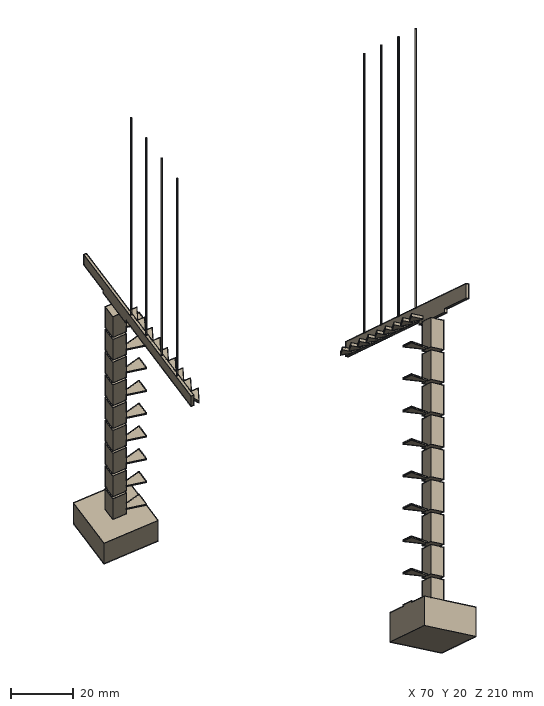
import cadquery as cq

total_height = 210.0
height_in_modules = 42
module = total_height / height_in_modules

base_width = 4 * module
base_height = 2 * module

segment_count = 9
segment_width = module
segment_height = 2 * module
segment_gap = module / 5
segment_pitch = segment_height + segment_gap

fin_width = segment_width
fin_reach = base_width / 2
fin_thickness = 0.5

beam_length = 14 * module
beam_left = -base_width
beam_thickness = 1.0
beam_height = module
beam_bottom = base_height + segment_count * segment_pitch + segment_gap
beam_top = beam_bottom + beam_height

rail_length = 3 * module
rail_height = 1.3
rail_bottom = beam_bottom - rail_height

tooth_count = 9
tooth_pitch = module
tooth_depth = module
tooth_thickness = 1.0

mast_count = 4
mast_pitch = 2 * tooth_pitch
mast_diameter = 0.5
mast_height = total_height - beam_top


def block(x_size, y_size, z_size, x_left, z_bottom):
    """Box centred on Y = 0, starting at x_left and z_bottom."""
    box = cq.Workplane("XY").box(x_size, y_size, z_size, centered=(False, True, False))
    return box.translate((x_left, 0, z_bottom))


def triangle_plate(corners, thickness, z_bottom):
    """Flat triangular plate lying on the plane Z = z_bottom."""
    return cq.Workplane("XY").workplane(offset=z_bottom).polyline(corners).close().extrude(thickness)


def make_segment(index):
    """One column segment with its fin."""
    foot = base_height + index * segment_pitch
    post = block(segment_width, segment_width, segment_height, -segment_width / 2, foot)
    fin_corners = [(0, 0), (fin_width / 2, fin_reach), (-fin_width / 2, fin_reach)]
    return post.union(triangle_plate(fin_corners, fin_thickness, foot))


def make_pedestal():
    """Base in one piece with the lowest segment."""
    base = block(base_width, base_width, base_height, -base_width / 2, 0)
    return base.union(make_segment(0))


def make_tooth(index):
    """Tooth as long as the row pitch, its tip pointing along +X."""
    start = (index + 1) * tooth_pitch
    corners = [(start, 0), (start + tooth_pitch, tooth_depth / 2), (start, tooth_depth)]
    return triangle_plate(corners, tooth_thickness, beam_bottom)


def make_mast(index):
    """Round mast from the top of the beam up to the full height."""
    x = (index + 1) * mast_pitch
    mast = cq.Workplane("XY").circle(mast_diameter / 2).extrude(mast_height)
    return mast.translate((x, 0, beam_top))


def make_beam():
    """Beam in one piece with its rail, teeth and masts."""
    beam = block(beam_length, beam_thickness, beam_height, beam_left, beam_bottom)
    beam = beam.union(block(rail_length, beam_thickness, rail_height, -rail_length / 2, rail_bottom))
    for index in range(tooth_count):
        beam = beam.union(make_tooth(index))
    for index in range(mast_count):
        beam = beam.union(make_mast(index))
    return beam


pedestal = make_pedestal()
segments = [make_segment(index) for index in range(1, segment_count)]
beam = make_beam()

result = cq.Compound.makeCompound(
    [pedestal.val(), *[segment.val() for segment in segments], beam.val()]
)